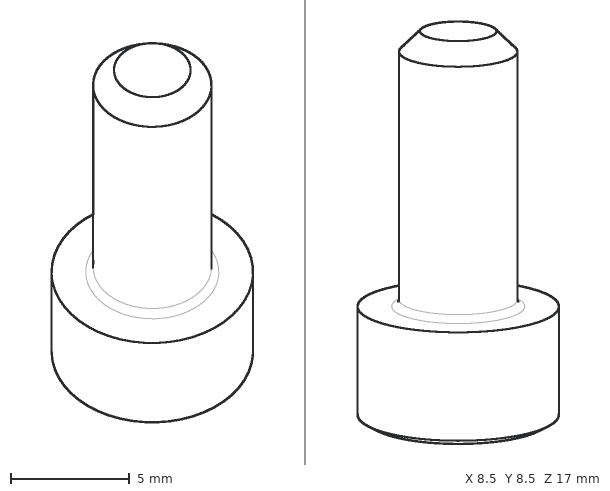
import cadquery as cq

total_length = 17.0
head_diameter = 8.5
head_height = 5.0
shank_diameter = 5.0

tip_chamfer = 0.88
neck_fillet_radius = 0.3
head_chamfer_height = 0.27
head_chamfer_width = 0.48


def make_head():
    """Cylindrical head with a shallow chamfer around its outer end face."""
    head = cq.Workplane("XY").circle(head_diameter / 2).extrude(head_height)
    return head.faces("<Z").edges().chamfer(head_chamfer_height, head_chamfer_width)


def make_shank():
    """Plain shank with a 45 degree chamfered tip."""
    shank_length = total_length - head_height
    shank = (
        cq.Workplane("XY")
        .workplane(offset=head_height)
        .circle(shank_diameter / 2)
        .extrude(shank_length)
    )
    return shank.faces(">Z").edges().chamfer(tip_chamfer)


def round_neck(screw):
    """Fillet the inside corner where the shank meets the head."""
    shoulder = screw.faces("+Z").faces("<Z")
    return shoulder.edges(cq.selectors.RadiusNthSelector(0)).fillet(neck_fillet_radius)


result = round_neck(make_head().union(make_shank()))